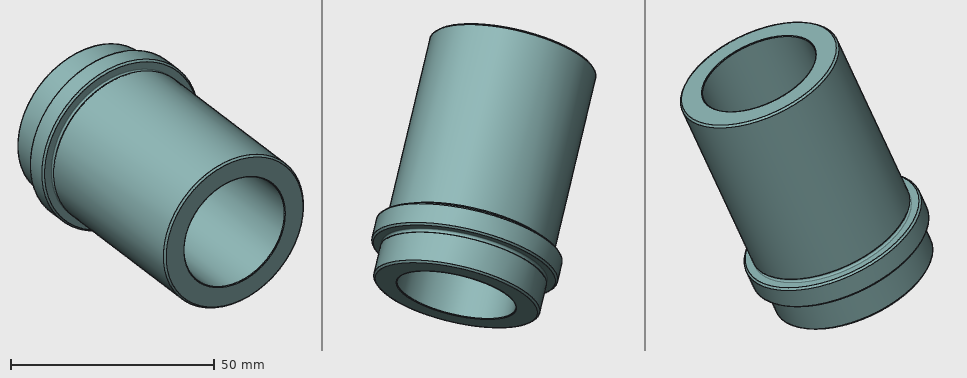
import cadquery as cq

length = 64.0
body_diameter = 42.0
collar_diameter = 47.0
bore_diameter = 30.0
collar_start = 9.0
collar_width = 6.0
edge_chamfer = 0.5
bore_chamfer = 0.2
relief_radius = 0.5

body_radius = body_diameter / 2
collar_radius = collar_diameter / 2
bore_radius = bore_diameter / 2
collar_end = collar_start + collar_width
relief_width = 2 * relief_radius


def solid_of_revolution(profile):
    """Turn a closed half profile, drawn as (x, radius), around the X axis."""
    return profile.close().revolve(360, (0, 0, 0), (1, 0, 0))


def body():
    """Outer cylinder with both end rims chamfered."""
    profile = (
        cq.Workplane("XY")
        .moveTo(0, 0)
        .lineTo(0, body_radius - edge_chamfer)
        .lineTo(edge_chamfer, body_radius)
        .lineTo(length - edge_chamfer, body_radius)
        .lineTo(length, body_radius - edge_chamfer)
        .lineTo(length, 0)
    )
    return solid_of_revolution(profile)


def collar():
    """Locating collar with both rims chamfered."""
    rim_radius = collar_radius - edge_chamfer
    profile = (
        cq.Workplane("XY")
        .moveTo(collar_start, 0)
        .lineTo(collar_start, rim_radius)
        .lineTo(collar_start + edge_chamfer, collar_radius)
        .lineTo(collar_end - edge_chamfer, collar_radius)
        .lineTo(collar_end, rim_radius)
        .lineTo(collar_end, 0)
    )
    return solid_of_revolution(profile)


def relief(start):
    """Half-round ring that undercuts the body beside the collar."""
    profile = (
        cq.Workplane("XY")
        .moveTo(start, body_radius)
        .threePointArc(
            (start + relief_radius, body_radius - relief_radius),
            (start + relief_width, body_radius),
        )
    )
    return solid_of_revolution(profile)


def bore():
    """Through bore with a small chamfer at each mouth."""
    mouth_radius = bore_radius + bore_chamfer
    profile = (
        cq.Workplane("XY")
        .moveTo(0, 0)
        .lineTo(0, mouth_radius)
        .lineTo(bore_chamfer, bore_radius)
        .lineTo(length - bore_chamfer, bore_radius)
        .lineTo(length, mouth_radius)
        .lineTo(length, 0)
    )
    return solid_of_revolution(profile)


sleeve = body()
for relief_start in (collar_start - relief_width, collar_end):
    sleeve = sleeve.cut(relief(relief_start))
result = sleeve.union(collar()).cut(bore())